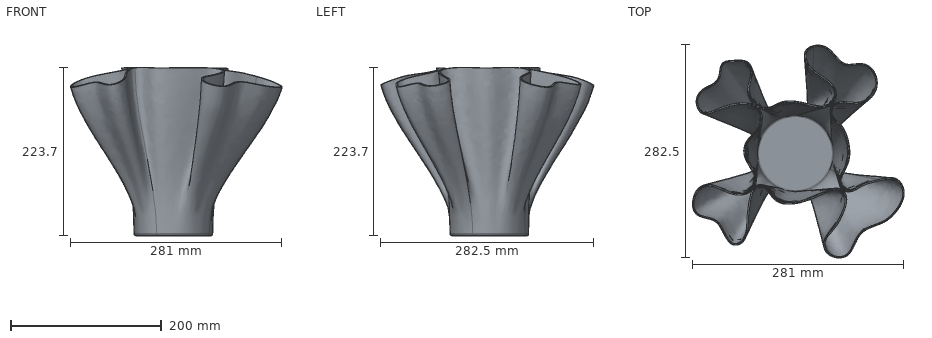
import cadquery as cq
import math

shapes = cq.occ_impl.shapes

VASE_HEIGHT = 223.8
BASE_RADIUS = 52.2
BASE_FILLET = 3.0
WALL = 2.0
SEAM_ANGLE = 245.0
CROWN_FLAT_RADIUS = 55.0
LOBE_REACH = 152.0
RIM_DROOP = 25.7
DROOP_EXPONENT = 1.6
SEWING_TOLERANCE = 1e-3
SAMPLES_PER_PANEL = 40
SKIN_SECTIONS = 8

FLOOR_FILLET = BASE_FILLET - WALL

RIM_PANELS = [
    [
        (-51, -44), (-46, -42.5), (-37, -49.5), (-24.5, -63.5), (-4, -67), (15.5, -62.5), (35, -54.5),
        (53, -48), (63, -51), (66, -60.5), (61, -80), (48.5, -100.5), (38, -115), (38.5, -126.5),
        (53, -138), (67, -136.5), (87.5, -106), (118, -91), (133.5, -77.5), (143.8, -47),
        (134, -33.5),
    ],
    [
        (110, -34.5), (87.5, -41.5), (68, -48.5), (60.5, -42), (63.5, -27), (71.5, -7), (70, 18), (59, 40),
        (49, 51.5), (49.5, 62), (56.5, 66), (88.5, 67), (106.5, 83), (106.5, 104.5), (91, 119),
        (67, 119), (41.5, 141),
    ],
    [
        (23.5, 143), (13, 135.5), (15.5, 118), (40.5, 97), (52.5, 78.5), (45, 65), (35, 63),
        (11, 67.5), (-8.5, 70), (-21, 67.5), (-36, 61), (-53, 66), (-61.5, 82), (-57.5, 111.5),
        (-62, 120.5), (-79, 124), (-97.5, 119), (-103, 99), (-124.5, 84),
        (-131.5, 66),
    ],
    [
        (-122, 52.5), (-107.5, 55.5), (-88.5, 62.5), (-69, 65.5), (-50.5, 59.5),
        (-47, 39), (-64.5, 16.5), (-68.5, 1), (-58.5, -20.5), (-53.5, -33), (-59, -47), (-71, -53),
        (-96, -47), (-121.5, -41.5), (-135, -57), (-131.5, -80.5), (-106.5, -90), (-93, -110.5),
        (-78.5, -122), (-67.5, -114), (-62.5, -91), (-57.5, -54.5),
    ],
]


def flare(z):
    """Share of the way from base circle to full-height plan, vertical at both ends."""
    t = z / VASE_HEIGHT
    return t * t * (3 - 2 * t)


def flare_slope(z):
    """Rate at which the flare grows with height."""
    t = z / VASE_HEIGHT
    return 6 * t * (1 - t) / VASE_HEIGHT


def crown_height(radius):
    """Height of the rim at a given distance from the axis, drooping toward the lobe tips."""
    reach = max(0.0, radius - CROWN_FLAT_RADIUS) / (LOBE_REACH - CROWN_FLAT_RADIUS)
    return VASE_HEIGHT - RIM_DROOP * reach**DROOP_EXPONENT


def rim_samples():
    """Points along the rim plan, evenly spaced within each panel."""
    points = [cq.Vector(x, y) for panel in RIM_PANELS for x, y in panel]
    parameters = [0.0]
    for start, end in zip(points, points[1:] + points[:1]):
        parameters.append(parameters[-1] + (end - start).Length)
    rim = cq.Edge.makeSpline(points, periodic=True, parameters=parameters)
    samples = []
    first = 0
    for panel in RIM_PANELS:
        last = first + len(panel)
        piece = rim.trim(parameters[first], parameters[last])
        samples += piece.positions([i / SAMPLES_PER_PANEL for i in range(SAMPLES_PER_PANEL)])
        first = last
    return samples


def base_samples(count):
    """Points evenly spaced around the base circle, starting at the seam."""
    angles = [math.radians(SEAM_ANGLE + 360.0 * i / count) for i in range(count)]
    return [cq.Vector(BASE_RADIUS * math.cos(a), BASE_RADIUS * math.sin(a)) for a in angles]


RIM = rim_samples()
BASE = base_samples(len(RIM))
TRAVEL = [(r - b) * (1 / flare(crown_height(r.Length))) for r, b in zip(RIM, BASE)]


def inward_normals(outline):
    """Horizontal unit vectors pointing into a counterclockwise closed outline."""
    normals = []
    for i in range(len(outline)):
        chord = outline[(i + 1) % len(outline)] - outline[i - 1]
        normals.append(cq.Vector(-chord.y, chord.x).normalized())
    return normals


def inset_points(outline, heights, inset):
    """Outline points moved inward so that the skins stand inset apart, square to the slope."""
    points = []
    for point, normal, travel, z in zip(outline, inward_normals(outline), TRAVEL, heights):
        lean = travel.dot(normal) * flare_slope(z)
        points.append(point + normal * (inset * math.hypot(1, lean)))
    return points


def section_wire(share, bottom, inset):
    """Closed curve around a skin, at a given share of the way from its bottom to the rim."""
    rim_heights = [crown_height(r.Length) for r in RIM]
    tops = [crown_height(p.Length) for p in inset_points(RIM, rim_heights, inset)]
    heights = [bottom + share * (top - bottom) for top in tops]
    outline = [b + t * flare(z) for b, t, z in zip(BASE, TRAVEL, heights)]
    plan = inset_points(outline, heights, inset)
    points = [p + cq.Vector(0, 0, z) for p, z in zip(plan, heights)]
    edge = cq.Edge.makeSpline(points, periodic=True, parameters=list(range(len(points) + 1)))
    panel_ends = [SAMPLES_PER_PANEL * i for i in range(len(RIM_PANELS) + 1)]
    panel_edges = [edge.trim(start, end) for start, end in zip(panel_ends, panel_ends[1:])]
    return cq.Wire.assembleEdges(panel_edges)


def skin_wires(bottom, inset):
    """Section curves of one skin, from its bottom up to the rim."""
    last = SKIN_SECTIONS - 1
    return [section_wire(i / last, bottom, inset) for i in range(SKIN_SECTIONS)]


def vase():
    """Closed solid between the outer and inner skins, the rim, the underside and the floor."""
    outer = skin_wires(0, 0)
    inner = skin_wires(WALL, WALL)
    walls = [
        shapes.loft(outer, compat=False),
        shapes.loft(inner, compat=False),
        shapes.loft([outer[-1], inner[-1]], ruled=True, compat=False),
    ]
    faces = [face for wall in walls for face in wall.Faces()]
    faces += [cq.Face.makeFromWires(outer[0]), cq.Face.makeFromWires(inner[0])]
    return cq.Solid.makeSolid(shapes.shell(faces, tol=SEWING_TOLERANCE))


body = cq.Workplane(vase())
body = body.faces("<Z").edges().fillet(BASE_FILLET)
body = body.faces("%PLANE").faces(">Z").edges().fillet(FLOOR_FILLET)
result = body.solids()